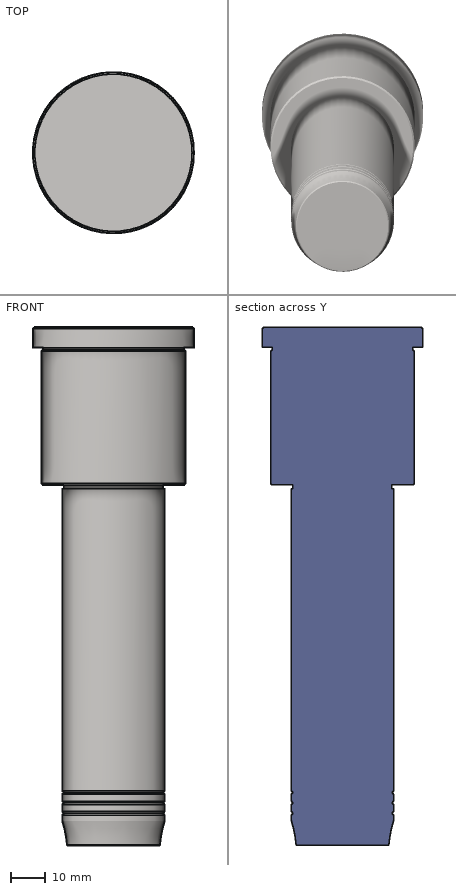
import cadquery as cq

total_length = 151.0
head_radius = 23.48
head_thickness = 6.0
head_chamfer = 0.6
sleeve_radius = 21.0
sleeve_bottom = total_length - 46.0
sleeve_chamfer = 0.5
shank_radius = 15.0

sleeve_relief_depth = 0.5
head_relief_height = 0.6
sleeve_relief_height = 1.0

nose_height = 7.2
nose_tip_radius = 13.6
nose_mid_height = 3.6
nose_mid_radius = 14.0
nose_tip_chamfer = 0.3

groove_depth = 0.5
groove_width = 1.0
groove_pitch = 3.0
groove_count = 3
lowest_groove_bottom = 8.9


def stepped_body():
    """Revolve the half outline of nose, shank, sleeve and head."""
    head_bottom = total_length - head_thickness
    sleeve_top = head_bottom - head_relief_height
    outline = (
        cq.Workplane("XZ")
        .lineTo(nose_tip_radius - nose_tip_chamfer, 0)
        .lineTo(nose_tip_radius, nose_tip_chamfer)
        .threePointArc((nose_mid_radius, nose_mid_height), (shank_radius, nose_height))
        .lineTo(shank_radius, sleeve_bottom)
        .lineTo(sleeve_radius - sleeve_chamfer, sleeve_bottom)
        .lineTo(sleeve_radius, sleeve_bottom + sleeve_chamfer)
        .lineTo(sleeve_radius, sleeve_top - sleeve_chamfer)
        .lineTo(sleeve_radius - sleeve_chamfer, sleeve_top)
        .lineTo(sleeve_radius - sleeve_chamfer, head_bottom)
        .lineTo(head_radius, head_bottom)
        .lineTo(head_radius, total_length - head_chamfer)
        .lineTo(head_radius - head_chamfer, total_length)
        .lineTo(0, total_length)
        .close()
    )
    return outline.revolve(360, (0, 0, 0), (0, 1, 0))


def sleeve_relief_cutter():
    """Square-walled ring that cuts the relief into the shank below the sleeve."""
    return (
        cq.Workplane("XY")
        .workplane(offset=sleeve_bottom - sleeve_relief_height)
        .circle(shank_radius)
        .circle(shank_radius - sleeve_relief_depth)
        .extrude(sleeve_relief_height)
    )


def groove_cutter(bottom):
    """Triangular ring that cuts a V groove into the shank."""
    profile = (
        cq.Workplane("XZ")
        .moveTo(shank_radius, bottom)
        .lineTo(shank_radius - groove_depth, bottom + groove_width / 2)
        .lineTo(shank_radius, bottom + groove_width)
        .close()
    )
    return profile.revolve(360, (0, 0, 0), (0, 1, 0))


result = stepped_body()

for index in range(groove_count):
    result = result.cut(groove_cutter(lowest_groove_bottom + index * groove_pitch))

result = result.cut(sleeve_relief_cutter())